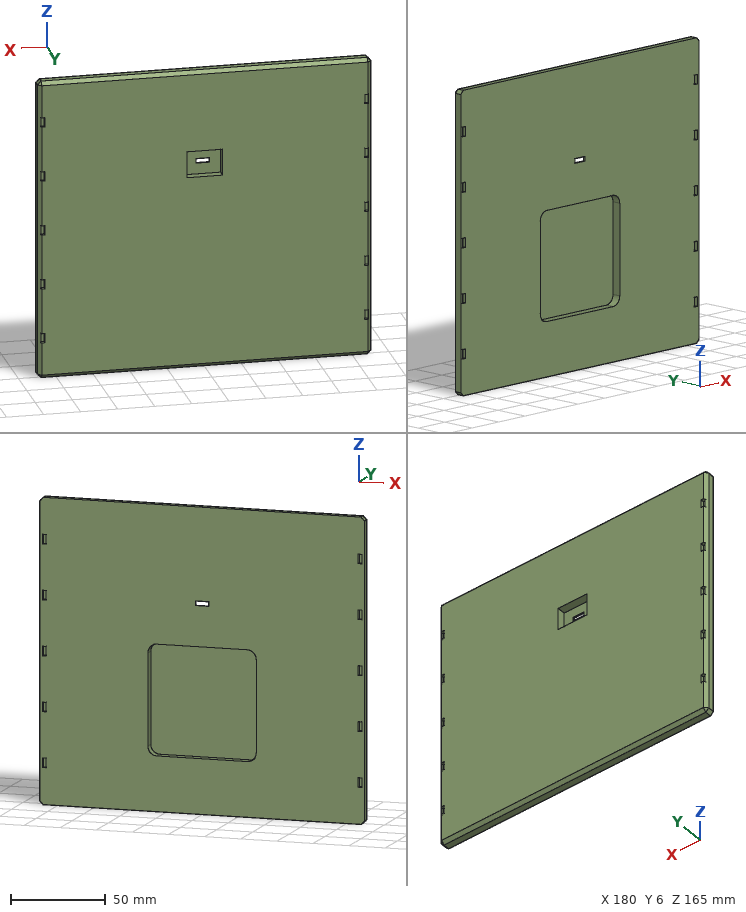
import cadquery as cq

width = 180.0
thickness = 6.0
height = 165.0
bevel = 2.0
front_y = -thickness / 2

web = 1.0

recess_size = 60.0
recess_corner_radius = 5.0
recess_depth = thickness - web
recess_z = -22.5

window_width = 7.2
window_height = 2.4
window_z = 30.7
relief_margin = 6.0

slot_width = 2.1
slot_height = 5.1
slot_depth = 2.0
slot_edge_gap = 1.5
slot_pitch = 30.0
slots_per_side = 5


def block(size_x, size_z, x, z, y_start, depth):
    """Box centred on (x, z) that runs from y_start towards +Y."""
    box = cq.Workplane("XY").box(size_x, depth, size_z)
    return box.translate((x, y_start + depth / 2, z))


def make_plate():
    plate = cq.Workplane("XY").box(width, thickness, height)
    return plate.edges("|Y or >Y").chamfer(bevel)


def make_recess():
    recess = block(recess_size, recess_size, 0, recess_z, front_y, recess_depth)
    return recess.edges("|Y").fillet(recess_corner_radius)


def make_window():
    opening = block(window_width, window_height, 0, window_z, front_y, thickness)
    relief_width = window_width + 2 * relief_margin
    relief_height = window_height + 2 * relief_margin
    relief = block(relief_width, relief_height, 0, window_z, front_y + web, thickness - web)
    return opening.union(relief)


def cut_side_slots(plate):
    """Cut a front and a back slot at every position; the back ones also nick the rim bevel."""
    slot_x = width / 2 - slot_edge_gap - slot_width / 2
    back_slot_y = front_y + thickness - slot_depth
    for side in (-1, 1):
        for index in range(slots_per_side):
            slot_z = (index - (slots_per_side - 1) / 2) * slot_pitch
            for y_start in (front_y, back_slot_y):
                slot = block(slot_width, slot_height, side * slot_x, slot_z, y_start, slot_depth)
                plate = plate.cut(slot)
    return plate


plate = make_plate().cut(make_recess()).cut(make_window())
result = cut_side_slots(plate)